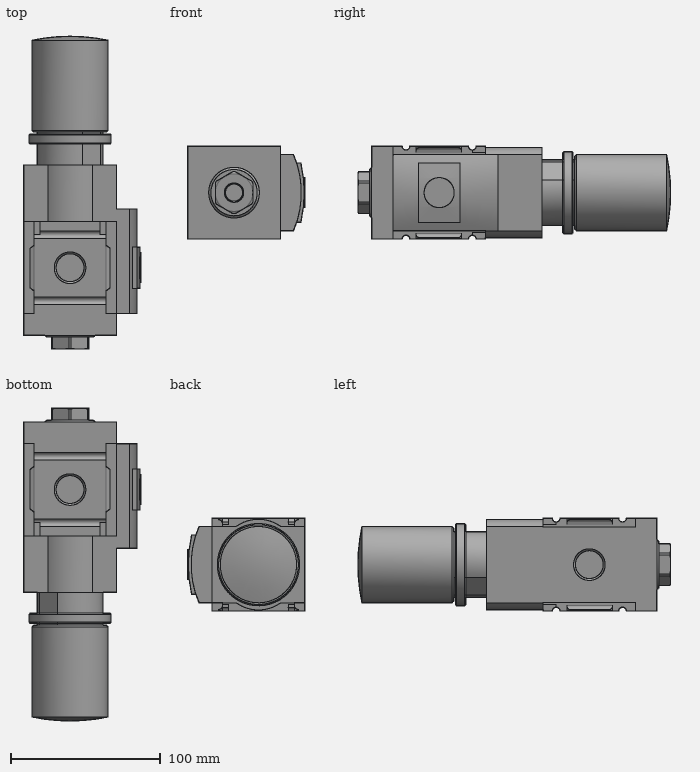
import cadquery as cq
import math


block_size = 62.0
block_length = 114.0
half_block = block_size / 2
front_band = 14.5
channel_floor = 25.5
seat_depth = 0.2
seat_floor = channel_floor - seat_depth

plate_half_width = 24.0
plate_end = 76.1
port_y = 45.2
notch_width = 4.0
notch_depth = 4.4
groove_radius = 2.5
groove_offset = 22.2
notch_start = port_y + groove_offset

lip_width = 2.7
lip_height = 3.8
lip_y = 45.0
lip_root_half = 15.3
lip_tip_half = 13.2
lip_edge = 0.5
lip_slope = 0.6

bulge_half_width = 14.8
bulge_rise = 4.8

port_diameter = 18.6
port_mouth = 21.1
port_depth = 16.7

gauge_start = front_band
gauge_length = 70.0
gauge_shoulder = 39.7
gauge_crown = 45.0
window_half_height = 19.9
window_half_length = 13.8
window_shoulder = 44.7
window_crown = 46.8
dial_diameter = 20.0
overall_width = 78.5
dial_face = overall_width - half_block

flange_base_diameter = 33.9
flange_top_diameter = 31.0
flange_height = 1.3
plug_length = 9.2
hex_flats = 25.0
hex_corner_cut = 0.5
tip_chamfer = 0.6
drain_diameter = 11.5
drain_mouth = 13.0
drain_depth = 12.5

neck_diameter = 44.1
neck_flats = 40.8
flat_angle = 45.0
nut_start = 127.8
nut_width = 7.0
nut_diameter = 55.0
nut_chamfer = 0.8
knob_start = 135.7
overall_length = 209.0
knob_end = overall_length - plug_length
knob_diameter = 51.0
knob_chamfer = 1.3
knob_crown = 2.7


def box(x_range, y_range, z_range):
    """Axis-aligned box given by its limits."""
    lows, highs = zip(x_range, y_range, z_range)
    sizes = [high - low for low, high in zip(lows, highs)]
    return cq.Workplane("XY").box(*sizes, centered=False).translate(lows)


def along_y(y):
    """Sketch plane at the given Y, extruding toward +Y; its horizontal axis is +X and vertical is -Z."""
    return cq.Workplane("XZ", origin=(0, y, 0)).transformed(rotate=(180, 0, 0))


def both_faces(shape):
    """The shape on the top of the block joined with its mirror image on the bottom."""
    return shape.union(shape.mirror("XY"))


def turned(half_profile):
    """Solid of revolution about the Y axis of an open half profile that starts and ends on it."""
    return half_profile.close().revolve(360, (0, 0, 0), (0, 1, 0))


def make_block():
    core = box((-half_block, half_block), (0, block_length), (-channel_floor, channel_floor))
    band = box((-half_block, half_block), (0, front_band), (-half_block, half_block))
    block = core.union(band)
    for side in (-1, 1):
        x_range = sorted((side * plate_half_width, side * half_block))
        seat = box(x_range, (front_band, plate_end), (seat_floor, channel_floor))
        block = block.cut(seat).cut(seat.mirror("XY"))
    return block


def make_plate():
    plate = box((-plate_half_width, plate_half_width), (0, plate_end), (0, half_block))
    for side in (-1, 1):
        x_range = sorted((side * (plate_half_width - notch_width), side * plate_half_width))
        notch = box(x_range, (notch_start, plate_end), (half_block - notch_depth, half_block))
        plate = plate.cut(notch).union(make_lip(side))
    for y in (port_y - groove_offset, port_y + groove_offset):
        groove = (
            cq.Workplane("YZ", origin=(-plate_half_width, y, half_block))
            .circle(groove_radius)
            .extrude(2 * plate_half_width)
        )
        plate = plate.cut(groove)
    return plate


def make_lip(side):
    """Lip on the plate side given by its X sign: sloping top, hollow underside and bevelled ends."""
    root = side * plate_half_width
    tip = side * (plate_half_width + lip_width)
    hollow_middle = tip - side * lip_width * math.cos(math.pi / 4)
    lip_bottom = half_block - lip_height
    tip_bottom = half_block - lip_slope - lip_edge
    hollow_middle_z = lip_bottom + (tip_bottom - lip_bottom) * math.sin(math.pi / 4)
    profile = (
        cq.Workplane("XZ", origin=(0, lip_y + lip_root_half, 0))
        .moveTo(root, half_block)
        .lineTo(tip, half_block - lip_slope)
        .lineTo(tip, tip_bottom)
        .threePointArc((hollow_middle, hollow_middle_z), (root, lip_bottom))
        .close()
        .extrude(2 * lip_root_half)
    )
    outline = (
        cq.Workplane("XY", origin=(0, lip_y, lip_bottom))
        .polyline([(root, -lip_root_half), (tip, -lip_tip_half), (tip, lip_tip_half), (root, lip_root_half)])
        .close()
        .extrude(lip_height)
    )
    return profile.intersect(outline)


def make_bulge():
    return (
        cq.Workplane("XZ", origin=(0, block_length, channel_floor))
        .moveTo(-bulge_half_width, 0)
        .threePointArc((0, bulge_rise), (bulge_half_width, 0))
        .close()
        .extrude(block_length - plate_end)
    )


def make_port(direction):
    """Blind port with a chamfered mouth, entering the block face that the direction points out of."""
    mouth_depth = (port_mouth - port_diameter) / 2
    face = cq.Plane(
        origin=(half_block * direction[0], port_y, half_block * direction[2]),
        xDir=(0, 1, 0),
        normal=direction,
    )
    bore = cq.Workplane(face).circle(port_diameter / 2).extrude(-port_depth)
    mouth = (
        cq.Workplane(face)
        .circle(port_mouth / 2)
        .workplane(offset=-mouth_depth)
        .circle(port_diameter / 2)
        .loft()
    )
    return bore.union(mouth)


def crowned_slab(half_height, shoulder, crown, half_length, centre_y):
    """Slab on the +X side whose curved outer face runs from the shoulder X out to the crown X."""
    return (
        cq.Workplane("XZ", origin=(0, centre_y + half_length, 0))
        .moveTo(half_block, -half_height)
        .lineTo(shoulder, -half_height)
        .threePointArc((crown, 0), (shoulder, half_height))
        .lineTo(half_block, half_height)
        .close()
        .extrude(2 * half_length)
    )


def make_gauge():
    half_length = gauge_length / 2
    body = crowned_slab(channel_floor, gauge_shoulder, gauge_crown, half_length, gauge_start + half_length)
    window = crowned_slab(window_half_height, window_shoulder, window_crown, window_half_length, port_y)
    dial = (
        cq.Workplane("YZ", origin=(half_block, port_y, 0))
        .circle(dial_diameter / 2)
        .extrude(dial_face - half_block)
    )
    return body.union(window).union(dial)


def make_plug():
    flange = turned(
        cq.Workplane("XY")
        .lineTo(flange_base_diameter / 2, 0)
        .lineTo(flange_top_diameter / 2, -flange_height)
        .lineTo(0, -flange_height)
    )
    corner_radius = hex_flats / math.sqrt(3)
    trim_radius = (corner_radius - hex_corner_cut) / math.cos(math.pi / 6)
    corner_trim = cq.Workplane("XZ").polygon(6, 2 * trim_radius).extrude(plug_length)
    hexagon = cq.Workplane("XZ").polygon(6, 2 * corner_radius).extrude(plug_length)
    hexagon = hexagon.rotate((0, 0, 0), (0, 1, 0), 30)
    tip_cone = turned(
        cq.Workplane("XY")
        .lineTo(corner_radius, 0)
        .lineTo(corner_radius, tip_chamfer - plug_length)
        .lineTo(hex_flats / 2, -plug_length)
        .lineTo(0, -plug_length)
    )
    return flange.union(hexagon.intersect(corner_trim).intersect(tip_cone))


def make_drain():
    mouth_depth = (drain_mouth - drain_diameter) / 2
    return turned(
        cq.Workplane("XY", origin=(0, -plug_length, 0))
        .lineTo(drain_mouth / 2, 0)
        .lineTo(drain_diameter / 2, mouth_depth)
        .lineTo(drain_diameter / 2, drain_depth)
        .lineTo(0, drain_depth)
    )


def make_neck():
    length = knob_start - block_length
    neck = along_y(block_length).circle(neck_diameter / 2).extrude(length)
    flats = along_y(block_length).rect(neck_flats, neck_diameter).extrude(length)
    return neck.intersect(flats.rotate((0, 0, 0), (0, 1, 0), -flat_angle))


def make_knob():
    radius = knob_diameter / 2
    edge_y = knob_end - knob_crown
    crown_radius = (radius**2 + knob_crown**2) / (2 * knob_crown)
    half_radius = radius / 2
    half_y = knob_end - crown_radius + math.sqrt(crown_radius**2 - half_radius**2)
    return turned(
        cq.Workplane("XY")
        .moveTo(0, knob_start)
        .lineTo(radius - knob_chamfer, knob_start)
        .lineTo(radius, knob_start + knob_chamfer)
        .lineTo(radius, edge_y)
        .threePointArc((half_radius, half_y), (0, knob_end))
    )


def make_regulator():
    body = make_block().union(both_faces(make_plate())).union(both_faces(make_bulge()))
    body = body.union(make_gauge()).union(make_plug()).union(make_neck()).union(make_knob())
    for direction in ((0, 0, 1), (0, 0, -1), (-1, 0, 0)):
        body = body.cut(make_port(direction))
    return body.cut(make_drain())


def make_ring_nut():
    blank = along_y(nut_start).circle(nut_diameter / 2).extrude(nut_width).edges().chamfer(nut_chamfer)
    hole = along_y(nut_start).circle(neck_diameter / 2).extrude(nut_width)
    return blank.cut(hole)


regulator = make_regulator()
ring_nut = make_ring_nut()
result = cq.Compound.makeCompound([regulator.val(), ring_nut.val()])